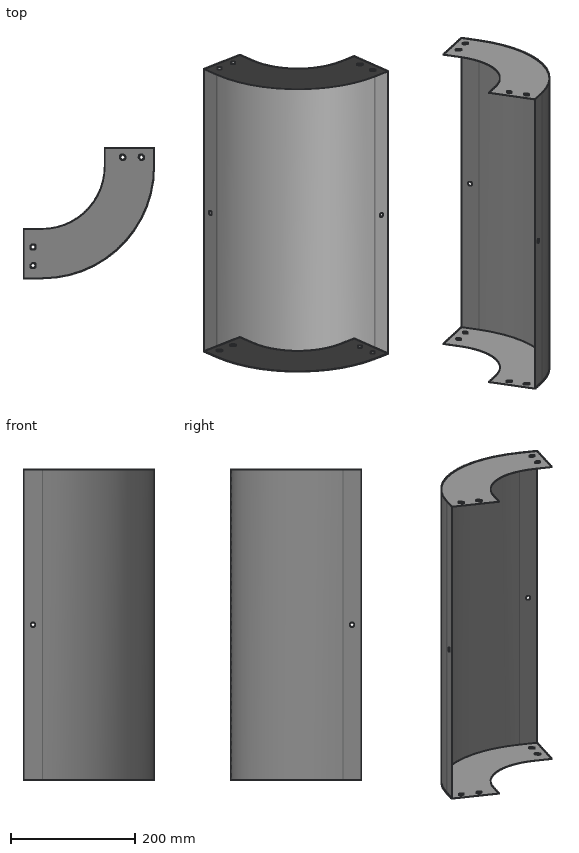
import cadquery as cq
import math

side = 210.0
height = 500.0
sheet = 0.8
flange_depth = 80.0

leg = 30.0
outer_radius = side - leg

hole_inset = leg / 2
wall_hole_diameter = 7.0
slot_width = 7.0
slot_length = 10.0
slot_tilt = 45.0
first_slot_offset = 20.0
slot_pitch = 30.0
slots_per_leg = 2

half_side = side / 2
bend_centre_x = -half_side + leg
bend_centre_y = half_side - leg


def plan_band(depth, thickness):
    """Solid on Z = 0; its plan follows the wall and reaches `depth` inward from the outer face."""
    diagonal = math.sqrt(0.5)

    def mid_bend(inset):
        reach = (outer_radius - inset) * diagonal
        return (bend_centre_x + reach, bend_centre_y - reach)

    return (
        cq.Workplane("XY")
        .moveTo(-half_side, -half_side)
        .lineTo(bend_centre_x, -half_side)
        .threePointArc(mid_bend(0), (half_side, bend_centre_y))
        .lineTo(half_side, half_side)
        .lineTo(half_side - depth, half_side)
        .lineTo(half_side - depth, bend_centre_y)
        .threePointArc(mid_bend(depth), (bend_centre_x, -half_side + depth))
        .lineTo(-half_side, -half_side + depth)
        .close()
        .extrude(thickness)
    )


def slotted_flange(bottom, tilt):
    """End flange with tilted slots in both legs; `tilt` is the slot angle in the front leg."""
    offsets = [sheet + first_slot_offset + i * slot_pitch for i in range(slots_per_leg)]
    front_points = [(-half_side + hole_inset, -half_side + offset) for offset in offsets]
    side_points = [(half_side - offset, half_side - hole_inset) for offset in offsets]
    flange = plan_band(flange_depth, sheet)
    for points, angle in ((front_points, tilt), (side_points, -tilt)):
        slots = cq.Workplane("XY").pushPoints(points).slot2D(slot_length, slot_width, angle)
        flange = flange.cut(slots.extrude(sheet))
    return flange.translate((0, 0, bottom))


def wall_hole(x, y, direction):
    """Cutter for a round hole through the wall at mid-height."""
    start = cq.Vector(x, y, height / 2)
    return cq.Solid.makeCylinder(wall_hole_diameter / 2, 2 * sheet, start, cq.Vector(*direction))


wall = plan_band(sheet, height)
wall = wall.cut(wall_hole(-half_side + hole_inset, -half_side, (0, 1, 0)))
wall = wall.cut(wall_hole(half_side, half_side - hole_inset, (-1, 0, 0)))

bottom_flange = slotted_flange(0, -slot_tilt)
top_flange = slotted_flange(height - sheet, slot_tilt)

result = wall.union(bottom_flange).union(top_flange).clean()